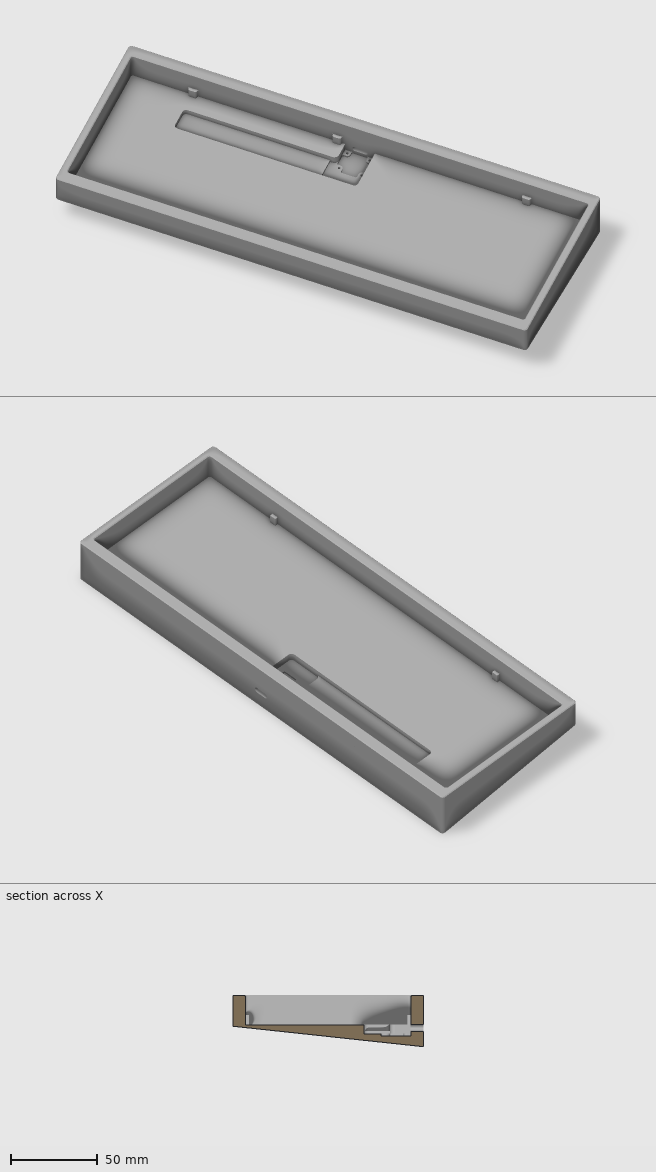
import cadquery as cq

length = 295.7
width = 110.3
back_height = 30.0
front_height = 18.0
corner_radius = 2.0
edge_chamfer = 0.5

side_wall = 4.5
end_wall = 7.5
cavity_depth = 17.2
cavity_corner_radius = 1.5

tab_height = 5.5
tab_reach = 2.0
back_tab_width = 5.3
back_tab_root_radius = 1.0
back_tab_places = (-104.7, -14.2, 104.7)
front_tab_width = 4.0
front_tab_places = (-90.2, 90.2)

channel_left = -105.5
channel_front = 20.7
channel_back = 35.8
channel_depth = 3.5
channel_radius = 2.5

pocket_left = -9.5
pocket_right = 9.2
landing_left = -14.0
landing_depth = 5.0
pocket_inner_radius = 3.0

recess_front = 30.8
recess_depth = 6.2
recess_radius = 1.0
post_radius = 2.0
post_pitch_x = 14.2
post_pitch_y = 12.0
post_center_y = 39.5
screw_hole_diameter = 1.6
screw_hole_depth = 3.0

opening_width = 9.8
opening_height = 3.5
opening_drop = 1.8

top = back_height
floor = top - cavity_depth
back_wall = width / 2 - end_wall
front_wall = -back_wall
pocket_center = (pocket_left + pocket_right) / 2


def block(x_min, x_max, y_min, y_max, z_min, z_max):
    """Box given by its limits along each axis."""
    box = cq.Workplane("XY").box(x_max - x_min, y_max - y_min, z_max - z_min, centered=False)
    return box.translate((x_min, y_min, z_min))


def wedge_body():
    profile = [
        (-width / 2, top - front_height),
        (-width / 2, top),
        (width / 2, top),
        (width / 2, 0),
    ]
    body = cq.Workplane("YZ").polyline(profile).close().extrude(length / 2, both=True)
    body = body.edges("|Z").fillet(corner_radius)
    return body.faces(">Z").edges().chamfer(edge_chamfer)


def cavity():
    x = length / 2 - side_wall
    tool = block(-x, x, front_wall, back_wall, floor, top)
    return tool.edges("|Z").fillet(cavity_corner_radius)


def chamfer_rim(body):
    """Break the edge between the rim and the cavity walls."""
    rim = body.faces(">Z").val()
    inner_edges = [edge for wire in rim.innerWires() for edge in wire.Edges()]
    return body.newObject(inner_edges).chamfer(edge_chamfer)


def back_tab(x):
    """Tab whose sides sweep out of the back wall and round over at the tip."""
    half = back_tab_width / 2
    root = back_tab_root_radius
    round_over = tab_reach - root
    tip = back_wall - tab_reach
    return (
        cq.Workplane("XY", origin=(x, 0, floor))
        .moveTo(-half - root, back_wall)
        .radiusArc((-half, back_wall - root), root)
        .radiusArc((-half + round_over, tip), -round_over)
        .lineTo(half - round_over, tip)
        .radiusArc((half, back_wall - root), -round_over)
        .radiusArc((half + root, back_wall), root)
        .close()
        .extrude(tab_height)
    )


def front_tab(x):
    half = front_tab_width / 2
    return block(x - half, x + half, front_wall, front_wall + tab_reach, floor, floor + tab_height)


def channel():
    tool = block(channel_left, pocket_left, channel_front, channel_back, floor - channel_depth, floor)
    return tool.edges("|Z and <X").fillet(channel_radius)


def connector_pocket():
    bottom = floor - landing_depth
    landing = block(landing_left, pocket_right, channel_front, channel_back, bottom, floor)
    landing = landing.edges("|Z and <Y").fillet(channel_radius)
    return landing.union(block(pocket_left, pocket_right, recess_front, back_wall, bottom, floor))


def pocket_inner_corner():
    """Sliver that rounds the corner where the channel turns into the pocket."""
    x = pocket_left - pocket_inner_radius
    y = channel_back + pocket_inner_radius
    sliver = block(x, pocket_left, channel_back, y, floor - landing_depth, floor)
    round_bar = cq.Workplane("XY", origin=(x, y, floor)).circle(pocket_inner_radius).extrude(-landing_depth)
    return sliver.cut(round_bar)


def board_recess():
    """Cross-shaped recess; the floor left in its corners forms the screw posts."""
    bottom = floor - recess_depth
    landing = floor - landing_depth
    half_x = post_pitch_x / 2 - post_radius
    half_y = post_pitch_y / 2 - post_radius
    left, right = pocket_center - half_x, pocket_center + half_x
    front, back = post_center_y - half_y, post_center_y + half_y

    crosswise = block(pocket_left, pocket_right, front, back, bottom, landing)
    lengthwise = block(left, right, recess_front, back_wall, bottom, landing)
    cross = crosswise.edges("|Z").fillet(recess_radius).union(lengthwise.edges("|Z").fillet(recess_radius))
    margin = recess_radius / 2
    inner_corners = cq.selectors.BoxSelector(
        (left - margin, front - margin, bottom),
        (right + margin, back + margin, landing),
    )
    return cross.edges("|Z").edges(inner_corners).fillet(post_radius)


def screw_holes():
    plane = cq.Workplane("XY", origin=(pocket_center, post_center_y, floor - landing_depth))
    centers = plane.rect(post_pitch_x, post_pitch_y, forConstruction=True).vertices()
    return centers.circle(screw_hole_diameter / 2).extrude(-screw_hole_depth)


def connector_opening():
    center = (pocket_center, width / 2, floor - opening_drop)
    return cq.Workplane("XZ", origin=center).slot2D(opening_width, opening_height).extrude(end_wall)


result = chamfer_rim(wedge_body().cut(cavity()))
for place in back_tab_places:
    result = result.union(back_tab(place))
for place in front_tab_places:
    result = result.union(front_tab(place))

result = result.cut(channel())
result = result.cut(connector_pocket())
result = result.cut(pocket_inner_corner())
result = result.cut(board_recess())
result = result.cut(screw_holes())
result = result.cut(connector_opening())